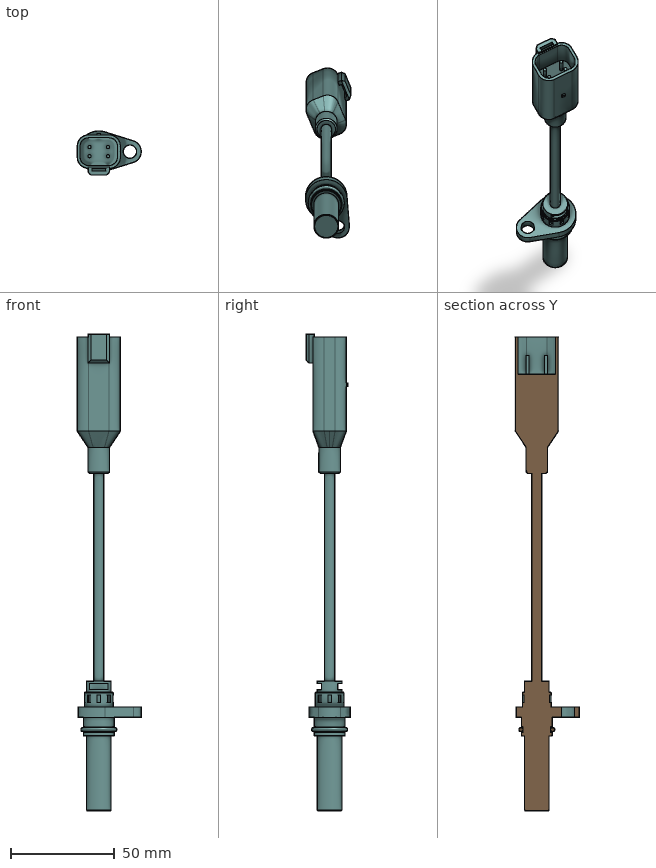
import cadquery as cq
import math

FLANGE_BOTTOM = 45.1
FLANGE_THICKNESS = 5.0
FLANGE_TOP = FLANGE_BOTTOM + FLANGE_THICKNESS
COLLAR_BOTTOM = 36.0
O_RING_HEIGHT = 39.2
CROWN_TOP = 57.3
NECK_TOP = 62.5
SLEEVE_BOTTOM = 162.6
TAPER_BOTTOM = 175.2
SHELL_BOTTOM = 183.0
SHELL_TOP = 228.5
OVERALL_HEIGHT = 229.78

PROBE_DIAMETER = 12.0
PROBE_TIP_CHAMFER = 0.4
COLLAR_DIAMETER = 15.0
COLLAR_CHAMFER = 0.4
CROWN_DIAMETER = 14.0
CROWN_CHAMFER = 0.4
WINDOW_COUNT = 8
WINDOW_WIDTH = 1.8
WINDOW_HEIGHT = 3.5
WINDOW_DEPTH = 0.8
WINDOW_MIDDLE = 54.0
NECK_FLAT_WIDTH = 8.0
NECK_FLAT_BOTTOM = 58.5
NECK_FLAT_TOP = 61.4

O_RING_SECTION = 2.0
O_RING_OUTER_DIAMETER = 17.4
O_RING_CENTRE_RADIUS = (O_RING_OUTER_DIAMETER - O_RING_SECTION) / 2
GROOVE_WIDTH = 2.6
GROOVE_DIAMETER = O_RING_OUTER_DIAMETER - 2 * O_RING_SECTION

FLANGE_RADIUS = 10.0
EAR_OFFSET = 15.0
EAR_RADIUS = 5.5
BOLT_HOLE_DIAMETER = 6.3

CABLE_DIAMETER = 5.0
SLEEVE_DIAMETER = 10.5
SLEEVE_CHAMFER = 0.8

OVERALL_LENGTH = 30.91
SHELL_WIDTH = 2 * (OVERALL_LENGTH - EAR_OFFSET - EAR_RADIUS)
SHELL_DEPTH = 16.2
SHELL_CORNER_RADIUS = 5.5
WALL = 1.4
CAVITY_DEPTH = 18.0
CAVITY_FLOOR = SHELL_TOP - CAVITY_DEPTH
PIN_DIAMETER = 1.5
PIN_LENGTH = 9.0
PIN_SPACING_X = 8.9
PIN_SPACING_Y = 4.4

OVERALL_DEPTH = 21.31
TAB_FRONT = FLANGE_RADIUS - OVERALL_DEPTH
TAB_WIDTH = 10.4
TAB_BOTTOM = 215.8
TAB_BEVEL = 1.4
TAB_GAP_WIDTH = 6.5
TAB_GAP_DEPTH = 1.2
NUB_HEIGHT = 205.4
NUB_SIZE = 1.8
NUB_PROJECTION = 0.7


def cylinder(diameter, bottom, top):
    return cq.Workplane("XY").workplane(offset=bottom).circle(diameter / 2).extrude(top - bottom)


def rounded_block(width, depth, corner_radius, bottom, top):
    block = cq.Workplane("XY").workplane(offset=bottom).rect(width, depth).extrude(top - bottom)
    return block.edges("|Z").fillet(corner_radius)


def make_o_ring():
    section = cq.Workplane("XZ").center(O_RING_CENTRE_RADIUS, O_RING_HEIGHT).circle(O_RING_SECTION / 2)
    return section.revolve(360, (-O_RING_CENTRE_RADIUS, 0), (-O_RING_CENTRE_RADIUS, 1))


def make_flange():
    """Round flange joined to the bolt ear by straight tangent sides."""
    tangent_cos = (FLANGE_RADIUS - EAR_RADIUS) / EAR_OFFSET
    tangent_sin = math.sqrt(1 - tangent_cos**2)
    flange_x, flange_y = FLANGE_RADIUS * tangent_cos, FLANGE_RADIUS * tangent_sin
    ear_x, ear_y = EAR_OFFSET + EAR_RADIUS * tangent_cos, EAR_RADIUS * tangent_sin
    outline = (
        cq.Workplane("XY")
        .workplane(offset=FLANGE_BOTTOM)
        .moveTo(flange_x, flange_y)
        .threePointArc((-FLANGE_RADIUS, 0), (flange_x, -flange_y))
        .lineTo(ear_x, -ear_y)
        .threePointArc((EAR_OFFSET + EAR_RADIUS, 0), (ear_x, ear_y))
        .close()
    )
    flange = outline.extrude(FLANGE_THICKNESS)
    bolt_hole = cylinder(BOLT_HOLE_DIAMETER, FLANGE_BOTTOM, FLANGE_TOP).translate((EAR_OFFSET, 0, 0))
    return flange.cut(bolt_hole)


def make_crown():
    """Ring above the flange with a row of shallow windows around it."""
    crown = cylinder(CROWN_DIAMETER, FLANGE_TOP, CROWN_TOP).faces(">Z").chamfer(CROWN_CHAMFER)
    for index in range(WINDOW_COUNT):
        window = cq.Workplane("XY").box(2 * WINDOW_DEPTH, WINDOW_WIDTH, WINDOW_HEIGHT)
        window = window.translate((CROWN_DIAMETER / 2, 0, WINDOW_MIDDLE))
        crown = crown.cut(window.rotate((0, 0, 0), (0, 0, 1), index * 360 / WINDOW_COUNT))
    return crown


def make_neck():
    """Round neck with a flat cut by a slot on its -Y and +Y sides."""
    neck = cylinder(PROBE_DIAMETER, CROWN_TOP, NECK_TOP)
    flat_height = NECK_FLAT_TOP - NECK_FLAT_BOTTOM
    for side in (-1, 1):
        slot = cq.Workplane("XY").box(PROBE_DIAMETER, NECK_FLAT_WIDTH, flat_height)
        neck = neck.cut(slot.translate((0, side * NECK_FLAT_WIDTH, NECK_FLAT_BOTTOM + flat_height / 2)))
    return neck


def make_sensor():
    probe = cylinder(PROBE_DIAMETER, 0, COLLAR_BOTTOM).faces("<Z").chamfer(PROBE_TIP_CHAMFER)
    collar = cylinder(COLLAR_DIAMETER, COLLAR_BOTTOM, FLANGE_BOTTOM).faces("<Z").chamfer(COLLAR_CHAMFER)
    groove_bottom = O_RING_HEIGHT - GROOVE_WIDTH / 2
    groove_top = O_RING_HEIGHT + GROOVE_WIDTH / 2
    groove = cylinder(COLLAR_DIAMETER, groove_bottom, groove_top)
    groove = groove.cut(cylinder(GROOVE_DIAMETER, groove_bottom, groove_top))
    collar = collar.cut(groove)
    return probe.union(collar).union(make_flange()).union(make_crown()).union(make_neck())


def make_taper():
    """Loft from the round sleeve up to the rounded rectangle of the shell."""
    corner_shape = cq.Sketch().rect(SHELL_WIDTH, SHELL_DEPTH).vertices().fillet(SHELL_CORNER_RADIUS)
    round_shape = cq.Sketch().circle(SLEEVE_DIAMETER / 2)
    taper_height = SHELL_BOTTOM - TAPER_BOTTOM
    taper = cq.Workplane("XY").placeSketch(round_shape, corner_shape.moved(cq.Location((0, 0, taper_height))))
    return taper.loft().translate((0, 0, TAPER_BOTTOM))


def make_latch_tab():
    """Bevelled tab standing off the -Y face, with a slot behind its middle."""
    tab_back = -SHELL_DEPTH / 2 + WALL / 2
    height = OVERALL_HEIGHT - TAB_BOTTOM
    half_width = TAB_WIDTH / 2
    outline = [
        (-half_width, tab_back),
        (-half_width, TAB_FRONT + TAB_BEVEL),
        (-half_width + TAB_BEVEL, TAB_FRONT),
        (half_width - TAB_BEVEL, TAB_FRONT),
        (half_width, TAB_FRONT + TAB_BEVEL),
        (half_width, tab_back),
    ]
    tab = cq.Workplane("XY").workplane(offset=TAB_BOTTOM).polyline(outline).close().extrude(height)
    tab = tab.faces("<Y").edges("<Z").chamfer(TAB_BEVEL)
    gap = cq.Workplane("XY").box(TAB_GAP_WIDTH, TAB_GAP_DEPTH, height)
    return tab.cut(gap.translate((0, -(SHELL_DEPTH + TAB_GAP_DEPTH) / 2, TAB_BOTTOM + height / 2)))


def make_connector():
    sleeve = cylinder(SLEEVE_DIAMETER, SLEEVE_BOTTOM, TAPER_BOTTOM).faces("<Z").chamfer(SLEEVE_CHAMFER)
    shell = rounded_block(SHELL_WIDTH, SHELL_DEPTH, SHELL_CORNER_RADIUS, SHELL_BOTTOM, SHELL_TOP)
    nub = cq.Workplane("XY").box(NUB_SIZE, 2 * NUB_PROJECTION, NUB_SIZE)
    nub = nub.translate((0, SHELL_DEPTH / 2, NUB_HEIGHT))
    cavity = rounded_block(
        SHELL_WIDTH - 2 * WALL,
        SHELL_DEPTH - 2 * WALL,
        SHELL_CORNER_RADIUS - WALL,
        CAVITY_FLOOR,
        OVERALL_HEIGHT,
    )
    connector = shell.union(make_taper()).union(sleeve).union(nub).union(make_latch_tab()).cut(cavity)
    pins = cq.Workplane("XY").workplane(offset=CAVITY_FLOOR).rarray(PIN_SPACING_X, PIN_SPACING_Y, 2, 2)
    pins = pins.circle(PIN_DIAMETER / 2).extrude(PIN_LENGTH)
    return connector.union(pins)


cable = cylinder(CABLE_DIAMETER, NECK_TOP, SLEEVE_BOTTOM)
sensor_cable = make_sensor().union(cable).union(make_connector())
o_ring = make_o_ring()

result = cq.Compound.makeCompound([sensor_cable.val(), o_ring.val()])